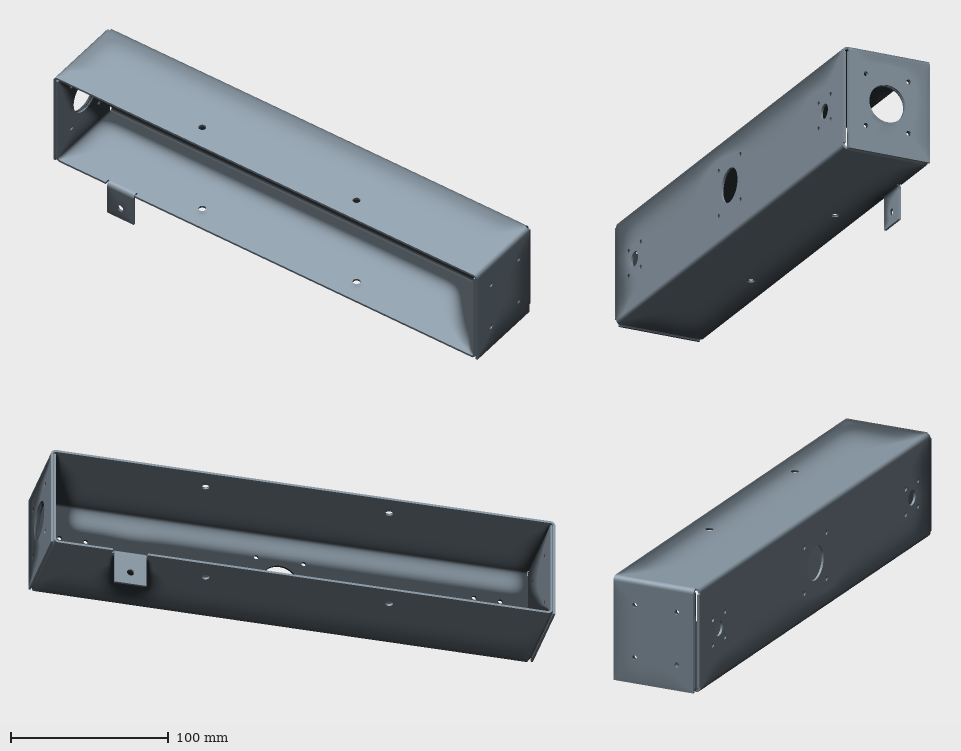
import cadquery as cq

length = 330.0
depth = 60.0
total_height = 93.5
box_height = 70.0
sheet = 1.5
bend_radius = 3.2
inner_radius = bend_radius - sheet
liner_gap = 0.3
liner_top_inset = 3.0

lip_side_inset = 1.5
lip_height_inset = 3.5

ear_width = 20.8
ear_start = 41.5
ear_hole = 4.5
ear_hole_height = 8.5
ear_slit = 1.0

center_hole = 23.0
center_screw_spacing = 31.0
side_hole = 10.2
side_hole_offset = 135.5
side_screw_spacing = 17.0
back_screw_hole = 3.0

cable_hole = 25.5
end_screw_hole = 3.3
end_screw_spacing_y = 30.0
end_screw_spacing_z = 35.3

roof_hole = 5.0
roof_hole_spacing = 120.0
roof_hole_front = 15.2

half_length = length / 2
mid_y = depth / 2
mid_z = box_height / 2
ear_drop = total_height - box_height
ear_x = -half_length + ear_start + ear_width / 2


def block(x_range, y_range, z_range):
    """Box between two limits on each axis."""
    (x0, x1), (y0, y1), (z0, z1) = x_range, y_range, z_range
    return cq.Workplane("XY").box(x1 - x0, y1 - y0, z1 - z0, centered=False).translate((x0, y0, z0))


def hole_y(x, z, diameter):
    """Drill along Y through the whole depth."""
    return cq.Workplane("XZ", origin=(x, 0, z)).circle(diameter / 2).extrude(-depth)


def back_channel():
    """Back panel with its folds toward the roof and floor, between the end folds."""
    half = half_length - bend_radius
    x_range = (-half, half)
    outside = block(x_range, (0, depth), (0, box_height))
    outside = outside.edges("|X and >Y").fillet(bend_radius)
    inside = block(x_range, (0, depth - sheet), (sheet, box_height - sheet))
    inside = inside.edges("|X and >Y").fillet(inner_radius)
    front = block(x_range, (0, depth - bend_radius), (0, box_height))
    return outside.cut(inside).cut(front)


def roof_and_ends():
    """Roof with both end plates folded down from it, stopping short of the back folds."""
    y_range = (0, depth - bend_radius)
    outside = block((-half_length, half_length), y_range, (0, box_height))
    outside = outside.edges("|Y and >Z").fillet(bend_radius)
    half = half_length - sheet
    inside = block((-half, half), y_range, (0, box_height - sheet))
    inside = inside.edges("|Y and >Z").fillet(inner_radius)
    return outside.cut(inside)


def floor_and_liners():
    """Floor with a liner folded up against the inside of each end plate."""
    y_range = (0, depth - bend_radius)
    half = half_length - sheet - liner_gap
    top = box_height - liner_top_inset
    outside = block((-half, half), y_range, (0, top))
    outside = outside.edges("|Y and <Z").fillet(bend_radius)
    half -= sheet
    inside = block((-half, half), y_range, (sheet, top))
    inside = inside.edges("|Y and <Z").fillet(inner_radius)
    return outside.cut(inside)


def back_lips():
    """Flat back panel widened past the folds toward both ends."""
    half = half_length - lip_side_inset
    lip_width = half - half_length + bend_radius
    z_range = (lip_height_inset, box_height - lip_height_inset)
    y_range = (depth - sheet, depth)
    left = block((-half, -half + lip_width), y_range, z_range)
    return left.union(left.mirror("YZ"))


def ear_clearance():
    """Notch in the floor that frees the ear and its fold."""
    half = ear_width / 2 + ear_slit
    return block((ear_x - half, ear_x + half), (0, bend_radius), (0, sheet))


def ear():
    """Ear folded down through a quarter turn, rooted in the floor, with its mounting hole."""
    x_range = (ear_x - ear_width / 2, ear_x + ear_width / 2)
    root = 2 * bend_radius
    outside = block(x_range, (0, root), (-ear_drop, sheet))
    outside = outside.edges("|X and <Y and >Z").fillet(bend_radius)
    inside = block(x_range, (sheet, root), (-ear_drop, 0))
    inside = inside.edges("|X and <Y and >Z").fillet(inner_radius)
    return outside.cut(inside).cut(hole_y(ear_x, ear_hole_height - ear_drop, ear_hole))


def back_holes():
    """Center opening and two side openings, each ringed by four screw holes."""
    groups = [
        (-side_hole_offset, side_hole, side_screw_spacing),
        (0, center_hole, center_screw_spacing),
        (side_hole_offset, side_hole, side_screw_spacing),
    ]
    cutter = cq.Workplane("XZ")
    for x, diameter, spacing in groups:
        cutter = cutter.union(hole_y(x, mid_z, diameter))
        for dx in (-spacing / 2, spacing / 2):
            for dz in (-spacing / 2, spacing / 2):
                cutter = cutter.union(hole_y(x + dx, mid_z + dz, back_screw_hole))
    return cutter


def end_holes():
    """Cable opening in the -X end only, and four screw holes through both ends."""
    plane = cq.Workplane("YZ", origin=(-half_length, mid_y, mid_z))
    cable = plane.circle(cable_hole / 2).extrude(2 * sheet + liner_gap)
    screws = plane.rect(end_screw_spacing_y, end_screw_spacing_z, forConstruction=True).vertices()
    return cable.union(screws.circle(end_screw_hole / 2).extrude(length))


def roof_holes():
    """Two holes through both roof and floor."""
    plane = cq.Workplane("XY", origin=(0, roof_hole_front, 0))
    points = [(-roof_hole_spacing / 2, 0), (roof_hole_spacing / 2, 0)]
    return plane.pushPoints(points).circle(roof_hole / 2).extrude(box_height)


housing = back_channel().union(roof_and_ends()).union(floor_and_liners()).union(back_lips())
housing = housing.cut(back_holes()).cut(end_holes()).cut(roof_holes())
result = housing.cut(ear_clearance()).union(ear())